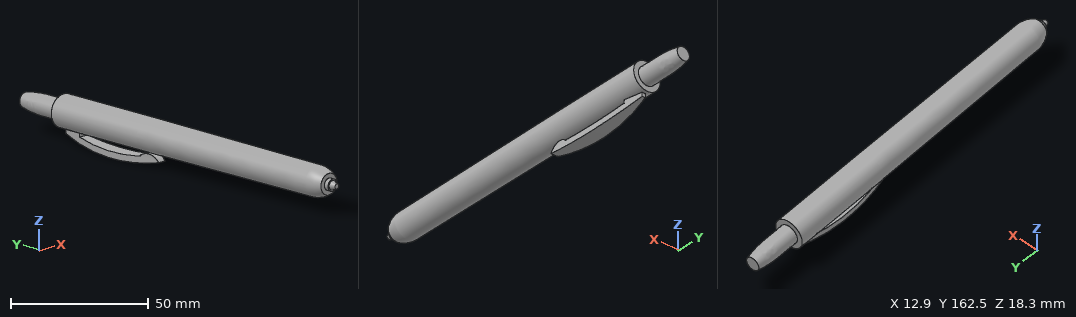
import cadquery as cq
import math


overall_length = 162.48
overall_height = 18.33

barrel_radius = 12.9 / 2
seam_y = -44.6
nose_start_y = -132.2
nose_start_radius = 6.08

nose_end_y = -138.2
nose_end_radius = 8.23 / 2
nose_bulge = 0.45
collar_radius = 4.67 / 2
collar_end_y = -140.1
tip_root_radius = 1.8
tip_end_radius = 1.0

button_radius = 8.23 / 2
button_taper_y = 10.3
button_end_y = 20.1
button_end_radius = 3.0
button_bulge = 0.25
tip_end_y = button_end_y - overall_length

clip_rear_y = -1.7
clip_front_y = -51.1
clip_root_front_y = -10.3
clip_root_z = -5.0
clip_low_y = -28.3
clip_low_z = barrel_radius - overall_height
clip_outer_arc_radius = 98.0
clip_thickness = 2.6
clip_inner_arc_radius = 95.0
pad_rear_y = -42.0
pad_top_y = -45.2
pad_top_z = -6.7

clip_mid_width = 6.5
clip_rear_width = 1.6
clip_front_width = 3.3
trim_margin = 1.0


def bulged_midpoint(start, end, bulge):
    """Midpoint of an arc in (radius, y) that stands `bulge` outside the chord from start to end."""
    dr = end[0] - start[0]
    dy = end[1] - start[1]
    chord = math.hypot(dr, dy)
    mid_r = (start[0] + end[0]) / 2 + bulge * abs(dy) / chord
    mid_y = (start[1] + end[1]) / 2 + bulge * abs(dr) / chord * math.copysign(1, dy)
    return (mid_r, mid_y)


def make_body():
    """Tip, nose, barrel and button as one solid of revolution about Y."""
    nose_start = (nose_start_radius, nose_start_y)
    nose_end = (nose_end_radius, nose_end_y)
    button_start = (button_radius, button_taper_y)
    button_end = (button_end_radius, button_end_y)
    return (
        cq.Workplane("XY")
        .moveTo(0, tip_end_y)
        .lineTo(tip_end_radius, tip_end_y)
        .lineTo(tip_root_radius, collar_end_y)
        .lineTo(collar_radius, collar_end_y)
        .lineTo(collar_radius, nose_end_y)
        .lineTo(*nose_end)
        .threePointArc(bulged_midpoint(nose_start, nose_end, nose_bulge), nose_start)
        .lineTo(barrel_radius, seam_y)
        .lineTo(barrel_radius, 0)
        .lineTo(button_radius, 0)
        .lineTo(*button_start)
        .threePointArc(bulged_midpoint(button_start, button_end, button_bulge), button_end)
        .lineTo(0, button_end_y)
        .close()
        .revolve(360, (0, 0, 0), (0, 1, 0))
    )


def bow_point(y, low_z, radius):
    """Point on an upward-curving arc whose lowest point is (clip_low_y, low_z)."""
    return (y, low_z + radius - math.sqrt(radius**2 - (y - clip_low_y) ** 2))


def make_clip():
    """Bowed pocket clip: the side profile trimmed to the lens-shaped outline."""
    outer_low = (clip_low_y, clip_low_z)
    outer_rear = bow_point(clip_rear_y, clip_low_z, clip_outer_arc_radius)
    outer_front = bow_point(clip_front_y, clip_low_z, clip_outer_arc_radius)
    inner_low_z = clip_low_z + clip_thickness
    inner_low = (clip_low_y, inner_low_z)
    inner_rear = bow_point(clip_root_front_y, inner_low_z, clip_inner_arc_radius)
    inner_front = bow_point(pad_rear_y, inner_low_z, clip_inner_arc_radius)
    profile = (
        cq.Workplane("YZ")
        .moveTo(clip_rear_y, clip_root_z)
        .lineTo(*outer_rear)
        .threePointArc(outer_low, outer_front)
        .threePointArc((pad_top_y, pad_top_z), inner_front)
        .threePointArc(inner_low, inner_rear)
        .lineTo(clip_root_front_y, clip_root_z)
        .close()
        .extrude(clip_mid_width / 2 + trim_margin, both=True)
    )
    lens = (
        cq.Workplane("XY")
        .workplane(offset=clip_low_z - trim_margin)
        .moveTo(-clip_rear_width / 2, clip_rear_y)
        .threePointArc((-clip_mid_width / 2, clip_low_y), (-clip_front_width / 2, clip_front_y))
        .lineTo(clip_front_width / 2, clip_front_y)
        .threePointArc((clip_mid_width / 2, clip_low_y), (clip_rear_width / 2, clip_rear_y))
        .close()
        .extrude(clip_root_z - clip_low_z + 2 * trim_margin)
    )
    return profile.intersect(lens)


result = make_body().union(make_clip())